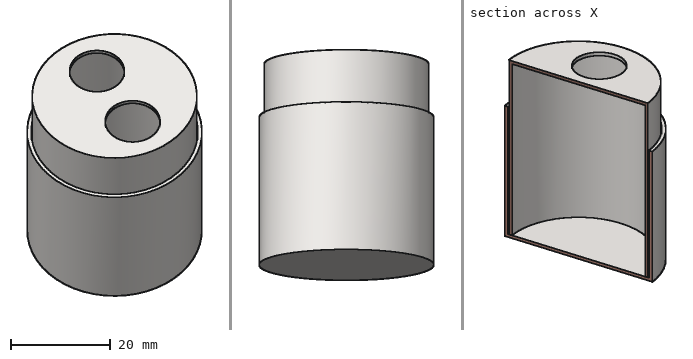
import cadquery as cq

wall = 0.8
radial_clearance = 0.2

cup_diameter = 35.0
cup_height = 30.0
cup_bore_diameter = cup_diameter - 2 * wall

insert_diameter = cup_bore_diameter - 2 * radial_clearance
insert_bore_diameter = insert_diameter - 2 * wall
insert_height = 40.0
insert_bottom = wall

opening_diameter = 11.0
opening_centers = [(-7.47, 0.1), (7.67, -0.07)]


def cylinder(diameter, bottom, height):
    """Upright cylinder on the Z axis."""
    return cq.Workplane("XY").workplane(offset=bottom).circle(diameter / 2).extrude(height)


def make_cup():
    """Outer cup with a closed floor and an open top."""
    outside = cylinder(cup_diameter, 0, cup_height)
    bore = cylinder(cup_bore_diameter, wall, cup_height - wall)
    return outside.cut(bore)


def make_insert():
    """Insert with an open bottom and two openings in its closed top."""
    cavity_height = insert_height - wall
    outside = cylinder(insert_diameter, insert_bottom, insert_height)
    cavity = cylinder(insert_bore_diameter, insert_bottom, cavity_height)
    openings = (
        cq.Workplane("XY")
        .workplane(offset=insert_bottom + cavity_height)
        .pushPoints(opening_centers)
        .circle(opening_diameter / 2)
        .extrude(wall)
    )
    return outside.cut(cavity).cut(openings)


cup = make_cup()
insert = make_insert()

result = cq.Compound.makeCompound([cup.val(), insert.val()])